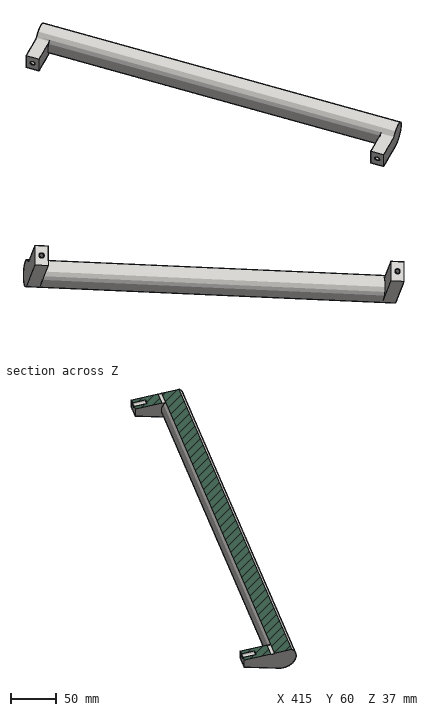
import cadquery as cq
import math

bar_length = 415.0
bar_radius = 15.0

arm_width = 15.0
arm_reach = 45.0
arm_top_height = 22.0
root_fillet = 3.0

hole_diameter = 4.92
hole_mouth_diameter = 6.0
hole_depth = 15.0

arm_slope = math.asin(bar_radius / arm_reach)
tangent_y = -bar_radius * math.sin(arm_slope)
tangent_z = -bar_radius * math.cos(arm_slope)
arm_top_at_axis = arm_top_height - arm_reach * math.tan(arm_slope)
hole_height = arm_top_height / 2


def make_arm(start_x):
    """Arm with its bar section, filleted at the root, starting at start_x."""
    plane = cq.Workplane("YZ", origin=(start_x, 0, 0))
    blade = (
        plane.moveTo(0, arm_top_at_axis)
        .lineTo(-arm_reach, arm_top_height)
        .lineTo(-arm_reach, 0)
        .lineTo(tangent_y, tangent_z)
        .lineTo(0, 0)
        .close()
        .extrude(arm_width)
    )
    arm = plane.circle(bar_radius).extrude(arm_width).union(blade)
    root_box = cq.selectors.BoxSelector(
        (start_x, -bar_radius, 0),
        (start_x + arm_width, 0, bar_radius),
    )
    return arm.edges("|X").edges(root_box).fillet(root_fillet)


def make_hole(center_x):
    """Blind hole cutter along Y with a 45 degree chamfered mouth."""
    mouth_radius = hole_mouth_diameter / 2
    hole_radius = hole_diameter / 2
    chamfer = mouth_radius - hole_radius
    return (
        cq.Workplane("XY", origin=(center_x, -arm_reach, hole_height))
        .lineTo(mouth_radius, 0)
        .lineTo(hole_radius, chamfer)
        .lineTo(hole_radius, hole_depth)
        .lineTo(0, hole_depth)
        .close()
        .revolve(360, (0, 0), (0, 1))
    )


result = cq.Workplane("YZ", origin=(-bar_length / 2, 0, 0)).circle(bar_radius).extrude(bar_length)
for start_x in (-bar_length / 2, bar_length / 2 - arm_width):
    result = result.union(make_arm(start_x))
    result = result.cut(make_hole(start_x + arm_width / 2))